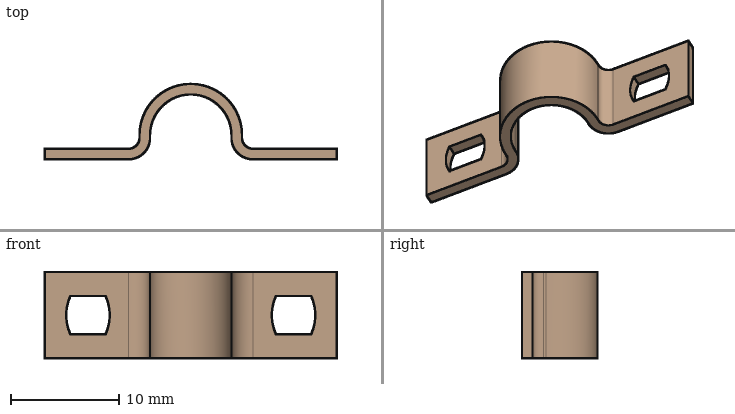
import cadquery as cq

total_length = 27.0
strip_width = 8.0
thickness = 1.0
total_depth = 7.0

saddle_inner_radius = 3.75
saddle_outer_radius = saddle_inner_radius + thickness
saddle_center_y = total_depth - saddle_outer_radius
bend_inner_radius = 1.0
bend_outer_radius = bend_inner_radius + thickness
bend_center_x = saddle_outer_radius + bend_inner_radius
bend_center_y = bend_outer_radius

hole_spacing = 19.0
hole_length = 4.0
hole_height = 3.5
hole_flat_length = 3.25


def saddle_side(saddle_radius, bend_radius):
    """One face of the bent strip, as a path from the left end to the right end."""
    end_x = total_length / 2
    flange_y = bend_center_y - bend_radius
    return (
        cq.Workplane("XY")
        .moveTo(-end_x, flange_y)
        .lineTo(-bend_center_x, flange_y)
        .radiusArc((-saddle_radius, bend_center_y), -bend_radius)
        .lineTo(-saddle_radius, saddle_center_y)
        .threePointArc((0, saddle_center_y + saddle_radius), (saddle_radius, saddle_center_y))
        .lineTo(saddle_radius, bend_center_y)
        .radiusArc((bend_center_x, flange_y), -bend_radius)
        .lineTo(end_x, flange_y)
    )


def area_below(saddle_radius, bend_radius):
    """Solid between one strip face and a base line lying one thickness below the flanges."""
    return (
        saddle_side(saddle_radius, bend_radius)
        .lineTo(total_length / 2, -thickness)
        .lineTo(-total_length / 2, -thickness)
        .close()
        .extrude(strip_width)
    )


def mounting_hole(center_x):
    """Cutter for one flange hole, running through the strip thickness."""
    half_length = hole_length / 2
    half_height = hole_height / 2
    half_flat = hole_flat_length / 2
    return (
        cq.Workplane("XZ", origin=(center_x, thickness, strip_width / 2))
        .moveTo(-half_flat, half_height)
        .lineTo(half_flat, half_height)
        .threePointArc((half_length, 0), (half_flat, -half_height))
        .lineTo(-half_flat, -half_height)
        .threePointArc((-half_length, 0), (-half_flat, half_height))
        .close()
        .extrude(thickness)
    )


result = area_below(saddle_outer_radius, bend_inner_radius).cut(
    area_below(saddle_inner_radius, bend_outer_radius)
)

for center_x in (-hole_spacing / 2, hole_spacing / 2):
    result = result.cut(mounting_hole(center_x))